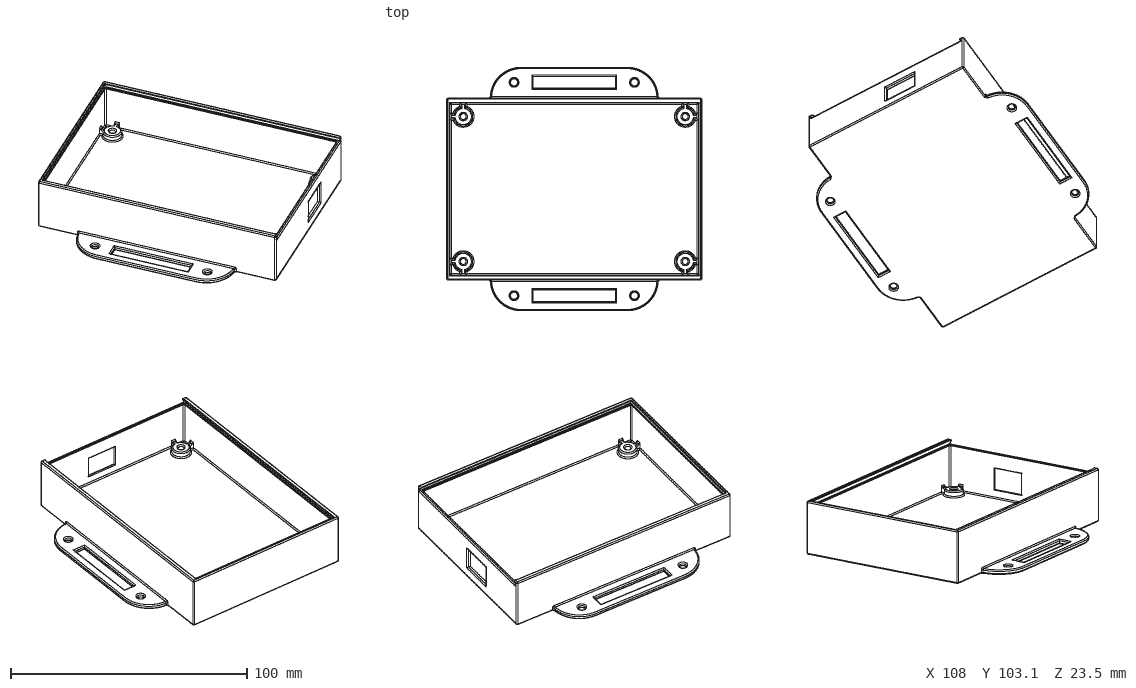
import cadquery as cq

LENGTH = 108.0
BOX_WIDTH = 77.1
HEIGHT = 23.5
SIDE_WALL = 2.2
END_WALL = 1.5
FLOOR = 1.7
EDGE = 0.5
MOUTH_EDGE = 0.3

LID_DEPTH = 2.0
LID_UNDERCUT = 1.0

EAR_REACH = 13.0
EAR_WIDTH = 71.1
EAR_THICKNESS = 2.0
EAR_HOLE_DIAMETER = 3.0
EAR_HOLE_SPACING = 51.0
SLOT_LENGTH = 34.9
SLOT_WIDTH = 5.0
OPENING_OFFSET = 6.6

POST_DIAMETER = 8.0
POST_HOLE_DIAMETER = 2.5
POST_TOP = 4.4
POST_X = 47.0
POST_Y = 30.7
RIB_THICKNESS = 2.0

WINDOW_WIDTH = 14.0
WINDOW_HEIGHT = 9.7
WINDOW_START_Y = 0.0
WINDOW_BOTTOM = 5.3

INNER_LENGTH = LENGTH - 2 * END_WALL
INNER_WIDTH = BOX_WIDTH - 2 * SIDE_WALL
LID_BOTTOM = HEIGHT - LID_DEPTH
SIGNS = (-1, 1)


def block(x_size, y_size, z_min, z_max):
    """Box centred on the Z axis between two heights."""
    return cq.Workplane("XY").workplane(offset=z_min).rect(x_size, y_size).extrude(z_max - z_min)


def flare(workplane, x_size, y_size, bevel):
    """Frustum that widens by the bevel on every side over a height equal to the bevel."""
    return (
        workplane
        .rect(x_size, y_size)
        .workplane(offset=bevel)
        .rect(x_size + 2 * bevel, y_size + 2 * bevel)
        .loft()
    )



def make_tray():
    """Open tray with bevelled outer edges and bevelled inside corners."""
    outside = block(LENGTH, BOX_WIDTH, 0, HEIGHT).edges("|Z or >Z or <Z").chamfer(EDGE)
    cavity = block(INNER_LENGTH, INNER_WIDTH, FLOOR, HEIGHT).edges("|Z or <Z").chamfer(EDGE)
    return outside.cut(cavity)


def make_mouth_bevel(top):
    """Cutter that bevels the cavity mouth at the given height."""
    plane = cq.Workplane("XY").workplane(offset=top - MOUTH_EDGE)
    return flare(plane, INNER_LENGTH, INNER_WIDTH, MOUTH_EDGE)


def make_lid_groove():
    """Dovetail prism for the sliding lid, running out through the +X wall."""
    top = INNER_WIDTH / 2
    bottom = top + LID_UNDERCUT
    return (
        cq.Workplane("YZ", origin=(-INNER_LENGTH / 2, 0, 0))
        .polyline([(-bottom, LID_BOTTOM), (bottom, LID_BOTTOM), (top, HEIGHT), (-top, HEIGHT)])
        .close()
        .extrude(INNER_LENGTH + END_WALL)
    )


def make_entry_bevel():
    """Cutter for the outer top edge of the lowered +X wall, between the two rails."""
    outer = LENGTH / 2
    return (
        cq.Workplane("XZ")
        .polyline([(outer - EDGE, LID_BOTTOM), (outer, LID_BOTTOM), (outer, LID_BOTTOM - EDGE)])
        .close()
        .extrude(INNER_WIDTH / 2 + LID_UNDERCUT, both=True)
    )


def make_window():
    """Rectangular cutter through the +X wall, flared at the outer face."""
    opening = (
        cq.Workplane("YZ", origin=(INNER_LENGTH / 2, 0, 0))
        .rect(WINDOW_WIDTH, WINDOW_HEIGHT)
        .extrude(END_WALL)
    )
    outer_plane = cq.Workplane("YZ", origin=(LENGTH / 2 - EDGE, 0, 0))
    cutter = opening.union(flare(outer_plane, WINDOW_WIDTH, WINDOW_HEIGHT, EDGE))
    return cutter.translate((0, WINDOW_START_Y + WINDOW_WIDTH / 2, WINDOW_BOTTOM + WINDOW_HEIGHT / 2))



def make_ears():
    """Rounded ears on both long sides, each with a strap slot and two screw holes."""
    plate = block(EAR_WIDTH, BOX_WIDTH + 2 * EAR_REACH, 0, EAR_THICKNESS)
    plate = plate.edges("|Z").fillet(EAR_REACH)
    slot = block(SLOT_LENGTH, SLOT_WIDTH, 0, EAR_THICKNESS)
    holes = (
        cq.Workplane("XY")
        .rarray(EAR_HOLE_SPACING, 1.1, 2, 1)
        .circle(EAR_HOLE_DIAMETER / 2)
        .extrude(EAR_THICKNESS)
    )
    for side in SIGNS:
        offset = (0, side * (BOX_WIDTH / 2 + OPENING_OFFSET), 0)
        plate = plate.cut(slot.translate(offset)).cut(holes.translate(offset))
    plate = plate.faces("<Z or >Z").edges().chamfer(EDGE)
    return plate.cut(block(LENGTH, INNER_WIDTH + SIDE_WALL, 0, HEIGHT))


def ear_section(growth):
    """Bevelled cross-section of an ear, grown on its sides and top."""
    half = EAR_WIDTH / 2 + growth
    top = EAR_THICKNESS + growth
    right = [(half - EDGE, 0), (half, EDGE), (half, top - EDGE), (half - EDGE, top)]
    return right + [(-x, z) for x, z in reversed(right)]


def make_ear_root():
    """Flared root of the ear on the -Y side, widening into the side wall."""
    return (
        cq.Workplane("XZ", origin=(0, -BOX_WIDTH / 2 + EDGE, 0))
        .polyline(ear_section(2 * EDGE))
        .close()
        .workplane(offset=2 * EDGE)
        .polyline(ear_section(0))
        .close()
        .loft()
    )



def half_section(half_width):
    """Half outline of a post or rib: flared at the floor and bevelled at the top."""
    return [
        (0, FLOOR - EDGE),
        (half_width + EDGE, FLOOR - EDGE),
        (half_width + EDGE, FLOOR),
        (half_width, FLOOR + EDGE),
        (half_width, POST_TOP - EDGE),
        (half_width - EDGE, POST_TOP),
        (0, POST_TOP),
    ]


def make_rib(wall_distance):
    """Rib from the origin along +X to a wall, with a small gusset against the wall."""
    half = half_section(RIB_THICKNESS / 2)
    mirrored = [(-y, z) for y, z in reversed(half[1:-1])]
    bar = cq.Workplane("YZ").polyline(half + mirrored).close().extrude(wall_distance + EDGE)
    gusset = (
        cq.Workplane("XZ")
        .polyline([
            (wall_distance - 2 * EDGE, POST_TOP - EDGE),
            (wall_distance + EDGE, POST_TOP - EDGE),
            (wall_distance + EDGE, POST_TOP + EDGE),
            (wall_distance, POST_TOP + EDGE),
        ])
        .close()
        .extrude(RIB_THICKNESS / 2, both=True)
    )
    return bar.union(gusset)


def make_post():
    """Post for the +X +Y corner with its ribs and bevelled blind screw hole."""
    outline = half_section(POST_DIAMETER / 2)
    post = cq.Workplane("XZ").polyline(outline).close().revolve(360, (0, 0), (0, 1))
    post = post.union(make_rib(INNER_LENGTH / 2 - POST_X))
    post = post.union(make_rib(INNER_WIDTH / 2 - POST_Y).rotate((0, 0, 0), (0, 0, 1), 90))
    radius = POST_HOLE_DIAMETER / 2
    hole = (
        cq.Workplane("XZ")
        .polyline([
            (0, FLOOR),
            (radius, FLOOR),
            (radius, POST_TOP - EDGE),
            (radius + EDGE, POST_TOP),
            (0, POST_TOP),
        ])
        .close()
        .revolve(360, (0, 0), (0, 1))
    )
    return post.cut(hole).translate((POST_X, POST_Y, 0))



result = make_tray()
for cutter in (
    make_lid_groove(),
    make_mouth_bevel(LID_BOTTOM),
    make_mouth_bevel(HEIGHT),
    make_entry_bevel(),
    make_window(),
):
    result = result.cut(cutter)

ear_root = make_ear_root()
result = result.union(make_ears()).union(ear_root).union(ear_root.mirror("XZ"))

post = make_post()
post_pair = post.union(post.mirror("YZ"))
result = result.union(post_pair).union(post_pair.mirror("XZ"))